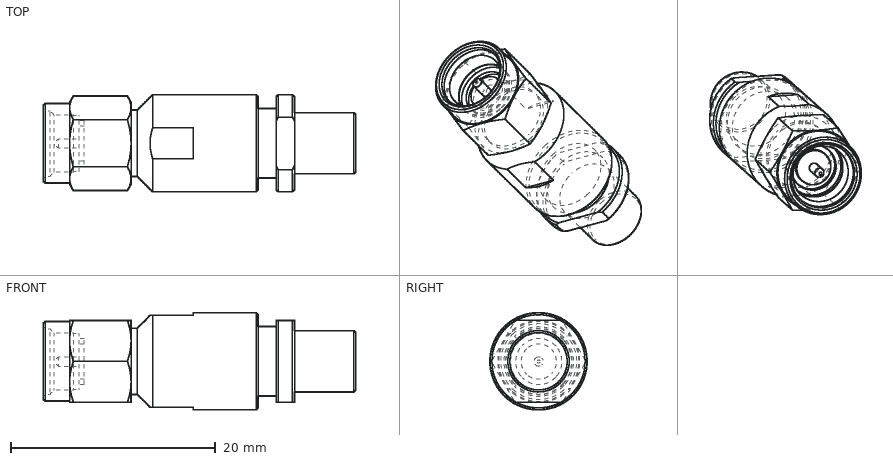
import cadquery as cq
import math

overall_length = 30.55
hex_start = 2.6
hex_end = 8.6
cone_start = 9.2
body_flat_end = 14.65
body_end = 21.0
flange_start = 22.75
flange_end = 24.55

collar_radius = 3.9
front_neck_radius = 3.25
body_radius = 4.75
rear_neck_radius = 3.4
tail_radius = 3.0

hex_sides = 6
hex_across_flats = 8.0
hex_chamfer_angle = 30.0
body_across_flats = 9.0
flange_across_flats = 8.0
edge_chamfer = 0.2

mouth_radius = 3.4
counterbore_radius = 3.2
bore_radius = 2.8
counterbore_end = 0.65
bore_end = 2.95
seat_radius = 2.75
seat_floor = 3.5
recess_outer_radius = 2.25
recess_inner_radius = 1.72
recess_depth = 0.5
pin_radius = 0.46
pin_tip_radius = 0.15
pin_tip_start = 1.1
pin_tip_length = 0.4

cone_end = cone_start + body_radius - front_neck_radius


def turned(points):
    """Revolve (axial, radial) points around the X axis."""
    return cq.Workplane("XY").polyline(points).close().revolve(360, (0, 0, 0), (1, 0, 0))


def cylinder(start, end, radius):
    return cq.Workplane("YZ", origin=(start, 0, 0)).circle(radius).extrude(end - start)


def slab(start, end, across_flats):
    """Block bounded in Z by two parallel flats and wider than the part in Y."""
    width = 4 * body_radius
    middle = (start + end) / 2
    return cq.Workplane("XY", origin=(middle, 0, 0)).box(end - start, width, across_flats)


def make_collar():
    return cylinder(0, hex_start, collar_radius).faces("<X").chamfer(edge_chamfer)


def make_hex_nut():
    """Hexagon with flats facing up and down, corners trimmed by a cone at each end."""
    flat_radius = hex_across_flats / 2
    corner_radius = flat_radius / math.cos(math.pi / hex_sides)
    trim = (corner_radius - flat_radius) * math.tan(math.radians(hex_chamfer_angle))
    prism = (
        cq.Workplane("YZ", origin=(hex_start, 0, 0))
        .polygon(hex_sides, 2 * corner_radius)
        .extrude(hex_end - hex_start)
    )
    envelope = turned([
        (hex_start, 0),
        (hex_start, flat_radius),
        (hex_start + trim, corner_radius),
        (hex_end - trim, corner_radius),
        (hex_end, flat_radius),
        (hex_end, 0),
    ])
    return prism.intersect(envelope)


def make_body():
    """Main barrel with a conical nose and a pair of wrench flats."""
    barrel = turned([
        (cone_start, 0),
        (cone_start, front_neck_radius),
        (cone_end, body_radius),
        (body_end - edge_chamfer, body_radius),
        (body_end, body_radius - edge_chamfer),
        (body_end, 0),
    ])
    surround = cylinder(cone_start, body_flat_end, 2 * body_radius)
    outside_flats = surround.cut(slab(cone_start, body_flat_end, body_across_flats))
    return barrel.cut(outside_flats)


def make_flange():
    """Chamfered disc with two parallel flats."""
    disc = cylinder(flange_start, flange_end, body_radius).edges().chamfer(edge_chamfer)
    return disc.intersect(slab(flange_start, flange_end, flange_across_flats))


def make_tail():
    return cylinder(flange_end, overall_length, tail_radius).faces(">X").chamfer(edge_chamfer)


def make_socket():
    """Stepped bore opening at the front face, with a ring recess in the seat floor."""
    mouth_chamfer = mouth_radius - counterbore_radius
    step_chamfer = counterbore_radius - bore_radius
    bore = turned([
        (0, 0),
        (0, mouth_radius),
        (mouth_chamfer, counterbore_radius),
        (counterbore_end, counterbore_radius),
        (counterbore_end + step_chamfer, bore_radius),
        (bore_end, bore_radius),
        (bore_end, seat_radius),
        (seat_floor, seat_radius),
        (seat_floor, 0),
    ])
    recess = (
        cq.Workplane("YZ", origin=(seat_floor, 0, 0))
        .circle(recess_outer_radius)
        .circle(recess_inner_radius)
        .extrude(recess_depth)
    )
    return bore.union(recess)


def make_pin():
    return turned([
        (pin_tip_start, 0),
        (pin_tip_start, pin_tip_radius),
        (pin_tip_start + pin_tip_length, pin_radius),
        (seat_floor, pin_radius),
        (seat_floor, 0),
    ])


result = (
    make_collar()
    .union(make_hex_nut())
    .union(cylinder(hex_end, cone_start, front_neck_radius))
    .union(make_body())
    .union(cylinder(body_end, flange_start, rear_neck_radius))
    .union(make_flange())
    .union(make_tail())
    .cut(make_socket())
    .union(make_pin())
)